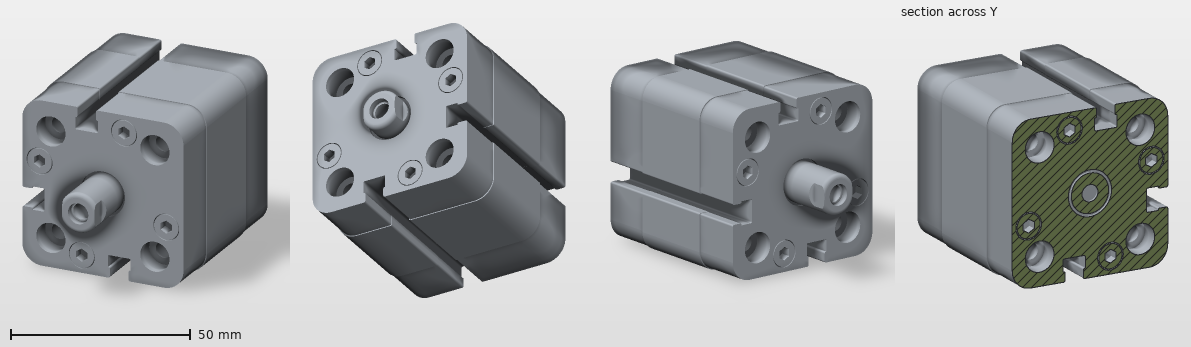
import cadquery as cq
import math

BODY_LENGTH = 54.5
CAP_LENGTH = 14.5
BARREL_WIDTH = 50.1
CAP_WIDTH = 49.6
CORNER_RADIUS = 6.0
ROD_FRONT_LENGTH = 16.0
ROD_REAR_LENGTH = 6.0

SLOT_OFFSET = 5.0
SLOT_LIP_HEIGHT = 21.65
CAP_SLOT_MOUTH = 5.75
CAP_SLOT_INNER_WIDTH = 7.0
CAP_SLOT_FLOOR_HEIGHT = 18.0
BARREL_SLOT_MOUTH = 5.5
BARREL_SLOT_INNER_WIDTH = 7.1
BARREL_SLOT_FLOOR_HEIGHT = 17.95
SLOT_FLOOR_FILLET = 0.4
SLOT_LIP_ROUND = 0.5

MOUNT_PITCH = 32.0
MOUNT_BORE_DIAMETER = 4.92
MOUNT_COUNTERBORE_DIAMETER = 9.0
MOUNT_COUNTERBORE_DEPTH = 5.8

SCREW_LONG_OFFSET = 19.5
SCREW_SHORT_OFFSET = 6.5
SCREW_HEAD_DIAMETER = 7.5
SCREW_POCKET_DIAMETER = 8.0
SCREW_POCKET_DEPTH = 1.0
SCREW_HEX_ACROSS_FLATS = 3.4
SCREW_HEX_DEPTH = 3.0

ROD_DIAMETER = 12.0
ROD_END_FILLET = 1.3
ROD_RECESS_DIAMETER = 13.6
ROD_RECESS_DEPTH = 1.0
FLATS_WIDTH = 10.0
FLATS_LENGTH = 4.6
ROD_COUNTERBORE_DIAMETER = 6.25
ROD_COUNTERBORE_DEPTH = 2.0
ROD_BORE_DIAMETER = 4.92
ROD_BORE_DEPTH = 10.0
DRILL_POINT_ANGLE = 118.0

OVERALL_LENGTH = BODY_LENGTH + ROD_FRONT_LENGTH + ROD_REAR_LENGTH
BODY_FRONT = -BODY_LENGTH / 2
BODY_REAR = BODY_LENGTH / 2
ROD_FRONT = BODY_FRONT - ROD_FRONT_LENGTH
ROD_REAR = BODY_REAR + ROD_REAR_LENGTH
BARREL_LENGTH = BODY_LENGTH - 2 * CAP_LENGTH
ENDS = ((BODY_FRONT, ROD_FRONT, 1), (BODY_REAR, ROD_REAR, -1))


def section_plane(y, direction=1):
    """Sketch plane across the cylinder at y, extruding toward +Y or -Y."""
    return cq.Workplane(cq.Plane((0, y, 0), (1, 0, 0), (0, direction, 0)))


def section_points(points, direction):
    """Turn (x, z) places into the local coordinates of a section plane."""
    return [(x, -direction * z) for x, z in points]


def slot_cutter(y, length, width, mouth, inner_width, floor):
    """T-slot opening upward at the top of a square section of the given width."""
    top = width / 2
    half_mouth = mouth / 2
    half_inner = inner_width / 2
    lip_round = SLOT_LIP_ROUND
    lip_arc_middle = lip_round * (1 - math.sqrt(0.5))
    floor_arc_middle = SLOT_FLOOR_FILLET * (1 - math.sqrt(0.5))
    outline = (
        cq.Workplane("XZ", origin=(0, y, 0))
        .moveTo(0, floor)
        .lineTo(half_inner - SLOT_FLOOR_FILLET, floor)
        .threePointArc(
            (half_inner - floor_arc_middle, floor + floor_arc_middle),
            (half_inner, floor + SLOT_FLOOR_FILLET),
        )
        .lineTo(half_inner, SLOT_LIP_HEIGHT)
        .lineTo(half_mouth + lip_round, SLOT_LIP_HEIGHT)
        .threePointArc(
            (half_mouth + lip_arc_middle, SLOT_LIP_HEIGHT + lip_arc_middle),
            (half_mouth, SLOT_LIP_HEIGHT + lip_round),
        )
        .lineTo(half_mouth, top - lip_round)
        .threePointArc((half_mouth + lip_arc_middle, top - lip_arc_middle), (half_mouth + lip_round, top))
        .lineTo(0, top)
        .close()
    )
    half_slot = outline.extrude(-length)
    return half_slot.union(half_slot.mirror("YZ")).translate((-SLOT_OFFSET, 0, 0))


def body_section(y, length, width, slot_sizes):
    """Rounded square length of body with slots on its top, left and bottom faces."""
    block = section_plane(y).rect(width, width).extrude(length).edges("|Y").fillet(CORNER_RADIUS)
    slot = slot_cutter(y, length, width, *slot_sizes)
    for angle in (0, -90, 180):
        block = block.cut(slot.rotate((0, 0, 0), (0, 1, 0), angle))
    return block


def body():
    """Barrel between two slightly narrower end caps."""
    cap_slot = (CAP_SLOT_MOUTH, CAP_SLOT_INNER_WIDTH, CAP_SLOT_FLOOR_HEIGHT)
    barrel_slot = (BARREL_SLOT_MOUTH, BARREL_SLOT_INNER_WIDTH, BARREL_SLOT_FLOOR_HEIGHT)
    front_cap = body_section(BODY_FRONT, CAP_LENGTH, CAP_WIDTH, cap_slot)
    barrel = body_section(BODY_FRONT + CAP_LENGTH, BARREL_LENGTH, BARREL_WIDTH, barrel_slot)
    rear_cap = body_section(BODY_REAR - CAP_LENGTH, CAP_LENGTH, CAP_WIDTH, cap_slot)
    return front_cap.union(barrel).union(rear_cap)


def mounting_holes():
    """Four through bores, counterbored from both end faces."""
    half = MOUNT_PITCH / 2
    places = [(x, z) for x in (-half, half) for z in (-half, half)]
    cutter = section_plane(BODY_FRONT).pushPoints(places).circle(MOUNT_BORE_DIAMETER / 2).extrude(BODY_LENGTH)
    for face, _, inward in ENDS:
        counterbores = (
            section_plane(face, inward)
            .pushPoints(places)
            .circle(MOUNT_COUNTERBORE_DIAMETER / 2)
            .extrude(MOUNT_COUNTERBORE_DEPTH)
        )
        cutter = cutter.union(counterbores)
    return cutter


def cap_screws(face, inward):
    """Clearance ring and hexagon socket of the four screws in one end face."""
    places = section_points(
        [
            (-SCREW_LONG_OFFSET, SCREW_SHORT_OFFSET),
            (SCREW_SHORT_OFFSET, SCREW_LONG_OFFSET),
            (SCREW_LONG_OFFSET, -SCREW_SHORT_OFFSET),
            (-SCREW_SHORT_OFFSET, -SCREW_LONG_OFFSET),
        ],
        inward,
    )
    rings = (
        section_plane(face, inward)
        .pushPoints(places)
        .circle(SCREW_POCKET_DIAMETER / 2)
        .circle(SCREW_HEAD_DIAMETER / 2)
        .extrude(SCREW_POCKET_DEPTH)
    )
    across_corners = SCREW_HEX_ACROSS_FLATS / math.cos(math.pi / 6)
    hexagon = cq.Sketch().regularPolygon(across_corners / 2, 6)
    sockets = section_plane(face, inward).pushPoints(places).placeSketch(hexagon).extrude(SCREW_HEX_DEPTH)
    return rings.union(sockets)


def rod_recess(face, inward):
    """Shallow recess around the rod in one end face."""
    return section_plane(face, inward).circle(ROD_RECESS_DIAMETER / 2).extrude(ROD_RECESS_DEPTH)


def wrench_flats(tip, inward):
    """Pair of flats at a rod tip, each running out to the rod surface at 45 degrees."""
    radius = ROD_DIAMETER / 2
    half_width = FLATS_WIDTH / 2
    flat_end = tip + inward * FLATS_LENGTH
    runout_end = flat_end + inward * (radius - half_width)
    side = (
        cq.Workplane("XY")
        .polyline([(half_width, tip), (half_width, flat_end), (radius, runout_end), (radius, tip)])
        .close()
        .extrude(radius, both=True)
    )
    return side.union(side.mirror("YZ"))


def rod_bore(tip, inward):
    """Counterbored blind hole with a drill point, in one rod tip."""
    bore_radius = ROD_BORE_DIAMETER / 2
    bore_end = tip + inward * ROD_BORE_DEPTH
    point_end = bore_end + inward * bore_radius / math.tan(math.radians(DRILL_POINT_ANGLE / 2))
    counterbore_radius = ROD_COUNTERBORE_DIAMETER / 2
    counterbore_end = tip + inward * ROD_COUNTERBORE_DEPTH
    profile = [
        (0, tip),
        (counterbore_radius, tip),
        (counterbore_radius, counterbore_end),
        (bore_radius, counterbore_end),
        (bore_radius, bore_end),
        (0, point_end),
    ]
    return cq.Workplane("XY").polyline(profile).close().revolve(360, (0, 0), (0, 1))


def rod():
    """Piston rod passing through the whole body."""
    shaft = section_plane(ROD_FRONT).circle(ROD_DIAMETER / 2).extrude(OVERALL_LENGTH)
    shaft = shaft.faces("<Y or >Y").edges().fillet(ROD_END_FILLET)
    for _, tip, inward in ENDS:
        shaft = shaft.cut(wrench_flats(tip, inward)).cut(rod_bore(tip, inward))
    return shaft


cylinder = body().cut(mounting_holes())
for face, _, inward in ENDS:
    cylinder = cylinder.cut(cap_screws(face, inward)).cut(rod_recess(face, inward))

result = cylinder.union(rod())